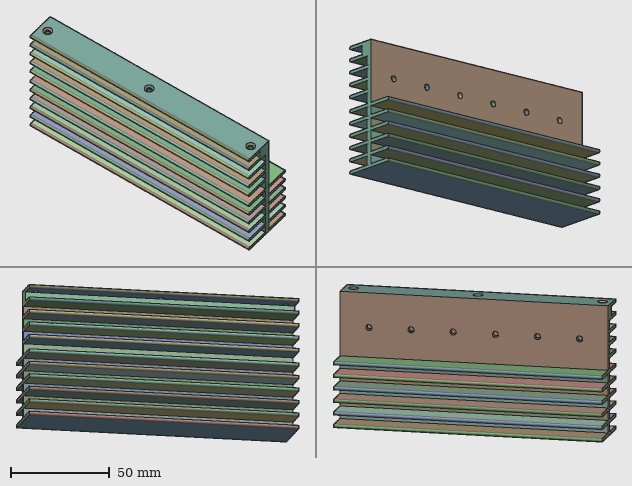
import cadquery as cq

length = 140.0
height = 68.0
depth = 30.7
web_thickness = 3.0

fin_thickness = 1.8
lower_fin_count = 6
lower_stack_span = 32.6
upper_fin_count = 5
upper_stack_span = 26.0

rail_thickness = 7.1

web_hole_diameter = 3.1
web_hole_count = 6
web_hole_pitch = 22.0
first_web_hole_inset = 15.0
web_hole_height = 50.0

sink_diameter = 4.9
sink_bore_diameter = 3.0
sink_end_inset = 5.0
sink_y = -7.1

fin_radius = fin_thickness / 2
lower_fin_pitch = lower_stack_span / (lower_fin_count - 1)
upper_fin_pitch = upper_stack_span / (upper_fin_count - 1)
top_fin_z = height - fin_radius
web_back = web_thickness / 2
tip_y = depth / 2
sink_depth = (sink_diameter - sink_bore_diameter) / 2


def bar(y_min, y_max, z_min, z_max):
    """Rectangular bar running the full length along X."""
    return (
        cq.Workplane("XY")
        .box(length, y_max - y_min, z_max - z_min)
        .translate((0, (y_min + y_max) / 2, (z_min + z_max) / 2))
    )


def fin(y_root, y_end, z):
    """Fin centred on height z, from y_root to a fully rounded tip at y_end."""
    outward = 1 if y_end > y_root else -1
    y_tangent = y_end - outward * fin_radius
    return (
        cq.Workplane("YZ", origin=(-length / 2, 0, 0))
        .moveTo(y_root, z - fin_radius)
        .lineTo(y_tangent, z - fin_radius)
        .threePointArc((y_end, z), (y_tangent, z + fin_radius))
        .lineTo(y_root, z + fin_radius)
        .close()
        .extrude(length)
    )


def web_holes():
    """Row of round cutters passing through the web."""
    first_x = -length / 2 + first_web_hole_inset
    places = [(first_x + i * web_hole_pitch, web_hole_height) for i in range(web_hole_count)]
    return (
        cq.Workplane("XZ")
        .pushPoints(places)
        .circle(web_hole_diameter / 2)
        .extrude(web_thickness, both=True)
    )


def countersunk_hole(x):
    """Bore through the top fin with a conical countersink at its mouth."""
    bore = (
        cq.Workplane("XY", origin=(x, sink_y, height))
        .circle(sink_bore_diameter / 2)
        .extrude(-fin_thickness)
    )
    cone = (
        cq.Workplane("XY", origin=(x, sink_y, height))
        .circle(sink_diameter / 2)
        .workplane(offset=-sink_depth)
        .circle(sink_bore_diameter / 2)
        .loft(ruled=True)
    )
    return bore.union(cone)


result = bar(-web_back, web_back, 0, height)
rail_bottom = top_fin_z - upper_fin_pitch - fin_radius
result = result.union(bar(web_back - rail_thickness, web_back, rail_bottom, height))

for i in range(lower_fin_count):
    fin_z = fin_radius + i * lower_fin_pitch
    result = result.union(fin(0, tip_y, fin_z))
    result = result.union(fin(0, -tip_y, fin_z))

for i in range(upper_fin_count):
    result = result.union(fin(0, -tip_y, top_fin_z - i * upper_fin_pitch))

result = result.cut(web_holes())
sink_end_x = length / 2 - sink_end_inset
for x in (-sink_end_x, 0, sink_end_x):
    result = result.cut(countersunk_hole(x))

result = result.clean()